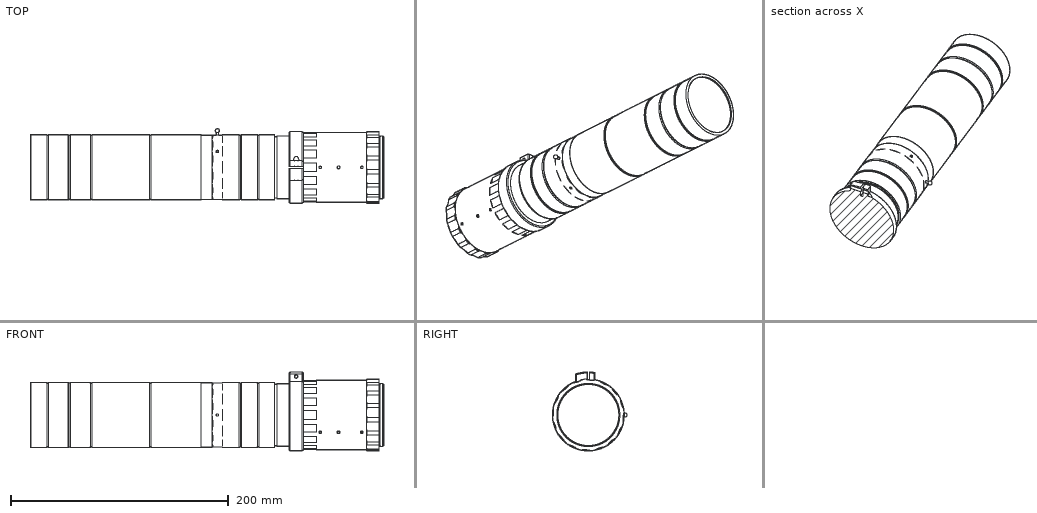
import cadquery as cq
import math

length = 324.0
tube_diameter = 60.0

overlap = 3.2

lens_diameter = 54.5
lens_recess = 1.3
lens_bulge = 1.0

groove_depth = 0.5
narrow_groove_width = 1.3
wide_groove_width = 2.3
narrow_groove_centres = (15.5, 55.5, 109.8, 208.5)
wide_groove_centres = (35.3, 192.5)

band_start = 156.5
band_diameter = 59.3

facet_start = 166.5
facet_end = 176.0
facet_count = 12
facet_half_angle = 10.0
facet_bevel_length = 0.5
ring_hole_diameter = 2.3
ring_hole_depth = 1.3
ring_hole_angles = (60, 180, 300)

ball_diameter = 4.0
ball_tip_y = 35.5
stem_diameter = 2.3

tube_end = 224.0
neck_diameter = 57.7
relief_length = 2.0
relief_diameter = 56.7

clamp_start = 237.0
clamp_width = 13.0
clamp_diameter = 66.0
clamp_chamfer = 1.0
lug_top_radius = 39.5
lug_screw_side_y = 6.0
lug_plain_side_y = -12.0
slit_width = 2.0
screw_hole_diameter = 3.0
screw_hole_z = 35.3
screw_head_diameter = 7.8

barrel_diameter = 64.0
scallop_count = 16
scallop_radius = 16.2
front_grip_length = 12.0
front_scallop_half_angle = 7.0
rear_grip_start = 308.0
rear_grip_end = 319.7
rear_grip_diameter = 66.0
rear_grip_chamfer = 0.5
rear_scallop_half_angle = 7.7
rear_scallop_phase = -4.0
flange_diameter = 58.0
flange_chamfer = 1.0
flange_relief_length = 1.0
flange_relief_diameter = 56.7

set_screws = ((265.5, 2.3), (282.5, 2.5), (304.0, 2.3))
set_screw_depth = 1.3
set_screw_angles = (90, 210, 330)

clamp_end = clamp_start + clamp_width
facet_x = (facet_start + facet_end) / 2
clamp_x = clamp_start + clamp_width / 2


def cylinder(start, end, diameter):
    """Solid cylinder on the X axis."""
    return cq.Workplane("YZ", origin=(start, 0, 0)).circle(diameter / 2).extrude(end - start)


def revolved(points):
    """Solid of revolution about the X axis from an (x, radius) outline."""
    return cq.Workplane("XY").polyline(points).close().revolve(360, (0, 0, 0), (1, 0, 0))


def around(body, angle):
    """Body turned about the X axis."""
    return body.rotate((0, 0, 0), (1, 0, 0), angle)


def square_groove(centre, width):
    start = centre - width / 2
    outer = cylinder(start, start + width, tube_diameter + overlap)
    return outer.cut(cylinder(start, start + width, tube_diameter - 2 * groove_depth))


def vee_groove(centre, width):
    radius = tube_diameter / 2
    start = centre - width / 2
    return revolved([(start, radius), (centre, radius - groove_depth), (start + width, radius)])


def radial_hole(x, surface_radius, diameter, depth, angle):
    """Blind hole drilled inwards from the surface at the given angle."""
    drill_start = cq.Workplane("XZ", origin=(x, surface_radius + overlap, 0))
    drill = drill_start.circle(diameter / 2).extrude(depth + overlap)
    return around(drill, angle)


def lens_recess_cutter():
    """Shallow round recess whose floor is a gently domed lens."""
    radius = lens_diameter / 2
    sphere_radius = (radius**2 + lens_bulge**2) / (2 * lens_bulge)
    half_rise = sphere_radius - math.sqrt(sphere_radius**2 - (radius / 2) ** 2)
    apex_x = lens_recess - lens_bulge
    return (
        cq.Workplane("XY")
        .moveTo(0, 0)
        .lineTo(apex_x, 0)
        .threePointArc((apex_x + half_rise, radius / 2), (lens_recess, radius))
        .lineTo(0, radius)
        .close()
        .revolve(360, (0, 0, 0), (1, 0, 0))
    )


def tube():
    body = cylinder(0, band_start, tube_diameter)
    body = body.union(cylinder(band_start, facet_start, band_diameter))
    body = body.union(cylinder(facet_start, tube_end, tube_diameter))
    body = body.cut(lens_recess_cutter())
    for centre in narrow_groove_centres:
        body = body.cut(square_groove(centre, narrow_groove_width))
    for centre in wide_groove_centres:
        body = body.cut(vee_groove(centre, wide_groove_width))
    return cut_control_ring(body)


def cut_control_ring(body):
    """Bevel the ring's front edge, then mill its flats and drill its three holes."""
    radius = tube_diameter / 2
    flat_radius = radius * math.cos(math.radians(facet_half_angle))
    bevel_end = facet_start + facet_bevel_length
    bevel = revolved([(facet_start, flat_radius), (facet_start, radius), (bevel_end, radius)])
    body = body.cut(bevel)
    flat_width = 2 * radius * math.sin(math.radians(facet_half_angle))
    flat = cq.Workplane("XY").box(facet_end - facet_start, overlap, flat_width)
    flat = flat.translate((facet_x, flat_radius + overlap / 2, 0))
    for index in range(facet_count):
        body = body.cut(around(flat, index * 360 / facet_count))
    for angle in ring_hole_angles:
        body = body.cut(radial_hole(facet_x, flat_radius, ring_hole_diameter, ring_hole_depth, angle))
    return body


def lever():
    """Ball on a short stem, standing on the +Y side of the control ring."""
    ball_y = ball_tip_y - ball_diameter / 2
    stem_root_y = tube_diameter / 2 - overlap
    ball = cq.Workplane("XY").sphere(ball_diameter / 2).translate((facet_x, ball_y, 0))
    stem_top = cq.Workplane("XZ", origin=(facet_x, ball_y, 0))
    stem = stem_top.circle(stem_diameter / 2).extrude(ball_y - stem_root_y)
    return ball.union(stem)


def clamp():
    """Collar and lugs as one chamfered block, then slit and drilled for the clamp screw."""
    lug_width = lug_screw_side_y - lug_plain_side_y
    lug_y = (lug_screw_side_y + lug_plain_side_y) / 2
    lug_block = cq.Workplane("XY").box(clamp_width, lug_width, lug_top_radius)
    lug_block = lug_block.translate((clamp_x, lug_y, lug_top_radius / 2))
    lugs = cylinder(clamp_start, clamp_end, 2 * lug_top_radius).intersect(lug_block)
    body = cylinder(clamp_start, clamp_end, clamp_diameter).union(lugs)
    body = body.faces("<X or >X").edges().chamfer(clamp_chamfer)

    slit = cq.Workplane("XY").box(clamp_width, slit_width, lug_top_radius)
    body = body.cut(slit.translate((clamp_x, 0, lug_top_radius / 2)))

    screw_axis = cq.Workplane("XZ", origin=(clamp_x, 0, screw_hole_z))
    body = body.cut(screw_axis.circle(screw_hole_diameter / 2).extrude(clamp_diameter / 2, both=True))
    head_space = cq.Workplane("XZ", origin=(clamp_x, lug_screw_side_y, screw_hole_z))
    return body.cut(head_space.circle(screw_head_diameter / 2).extrude(-clamp_diameter / 2))


def cut_scallops(body, start, end, diameter, half_angle, phase):
    """Cut evenly spaced concave finger grooves along X into a grip."""
    half_angle = math.radians(half_angle)
    half_chord = diameter / 2 * math.sin(half_angle)
    chord_distance = diameter / 2 * math.cos(half_angle)
    cutter_y = chord_distance + math.sqrt(scallop_radius**2 - half_chord**2)
    cutter = cylinder(start, end, 2 * scallop_radius).translate((0, cutter_y, 0))
    for index in range(scallop_count):
        body = body.cut(around(cutter, phase + index * 360 / scallop_count))
    return body


def rear_barrel():
    barrel = cylinder(clamp_end, rear_grip_start, barrel_diameter)
    grip_end = clamp_end + front_grip_length
    barrel = cut_scallops(barrel, clamp_end, grip_end, barrel_diameter, front_scallop_half_angle, 0)
    for angle in set_screw_angles:
        for x, diameter in set_screws:
            barrel = barrel.cut(radial_hole(x, barrel_diameter / 2, diameter, set_screw_depth, angle))

    grip = cylinder(rear_grip_start, rear_grip_end, rear_grip_diameter)
    grip = grip.faces("<X").chamfer(rear_grip_chamfer)
    grip = cut_scallops(
        grip, rear_grip_start, rear_grip_end, rear_grip_diameter, rear_scallop_half_angle, rear_scallop_phase
    )
    flange_start = rear_grip_end + flange_relief_length
    relief = cylinder(rear_grip_end, flange_start, flange_relief_diameter)
    flange = cylinder(flange_start, length, flange_diameter).faces(">X").chamfer(flange_chamfer)
    return barrel.union(grip).union(relief).union(flange)


neck = cylinder(tube_end, tube_end + relief_length, relief_diameter)
neck = neck.union(cylinder(tube_end + relief_length, clamp_start, neck_diameter))
clamp_core = cylinder(clamp_start, clamp_end, neck_diameter)

result = tube().union(lever()).union(neck).union(clamp().union(clamp_core)).union(rear_barrel())